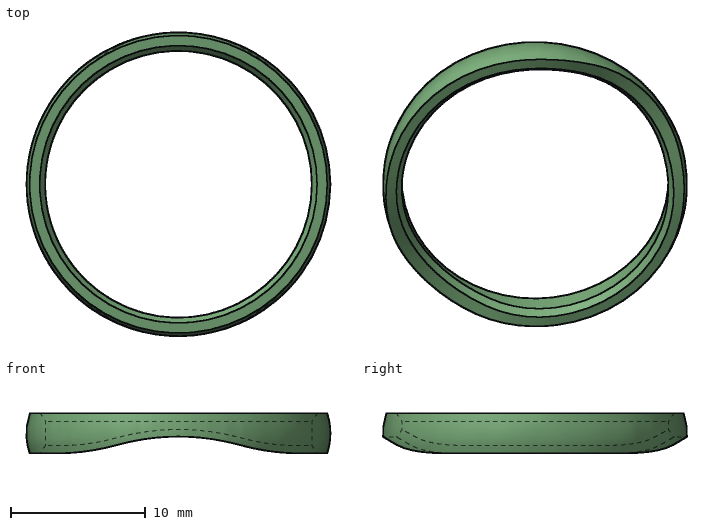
import cadquery as cq
import math

height = 3.0
outer_radius = 22.6 / 2
rim_radius = 11.05
bore_radius = 19.8 / 2
bevel_width = 0.4
bevel_depth = 0.6

wave_height = 1.25
wave_foot_x = 9.1
cutter_margin = 1.0
edge_tolerance = 0.01


def make_band():
    """Revolve the domed section into a ring with the upper bore mouth bevelled."""
    section = (
        cq.Workplane("XZ")
        .moveTo(bore_radius, 0)
        .lineTo(rim_radius, 0)
        .threePointArc((outer_radius, height / 2), (rim_radius, height))
        .lineTo(bore_radius + bevel_width, height)
        .lineTo(bore_radius, height - bevel_depth)
        .close()
    )
    return section.revolve(360, (0, 0, 0), (0, 1, 0))


def make_wave_cutter():
    """Prism under a crest arc that blends tangentially into two foot arcs."""
    blend_x = wave_foot_x / 2
    blend_z = wave_height / 2
    arc_radius = (blend_x**2 + blend_z**2) / (2 * blend_z)
    half_angle = math.asin(blend_x / arc_radius) / 2
    foot_mid_x = wave_foot_x - arc_radius * math.sin(half_angle)
    foot_mid_z = arc_radius * (1 - math.cos(half_angle))
    profile = (
        cq.Workplane("XZ")
        .moveTo(-wave_foot_x, 0)
        .threePointArc((-foot_mid_x, foot_mid_z), (-blend_x, blend_z))
        .threePointArc((0, wave_height), (blend_x, blend_z))
        .threePointArc((foot_mid_x, foot_mid_z), (wave_foot_x, 0))
        .lineTo(wave_foot_x, -cutter_margin)
        .lineTo(-wave_foot_x, -cutter_margin)
        .close()
    )
    return profile.extrude(outer_radius + cutter_margin, both=True)


def bevel_lower_mouth(ring):
    """Bevel the lower bore mouth, following the wave all the way round."""
    reach = bore_radius + edge_tolerance
    around_bore = cq.selectors.BoxSelector(
        (-reach, -reach, -edge_tolerance),
        (reach, reach, height / 2),
        boundingbox=True,
    )
    straight = cq.selectors.TypeSelector("LINE")
    mouth_edges = ring.edges(around_bore - straight)
    return mouth_edges.chamfer(bevel_depth, bevel_width)


band = make_band().cut(make_wave_cutter())
result = bevel_lower_mouth(band)